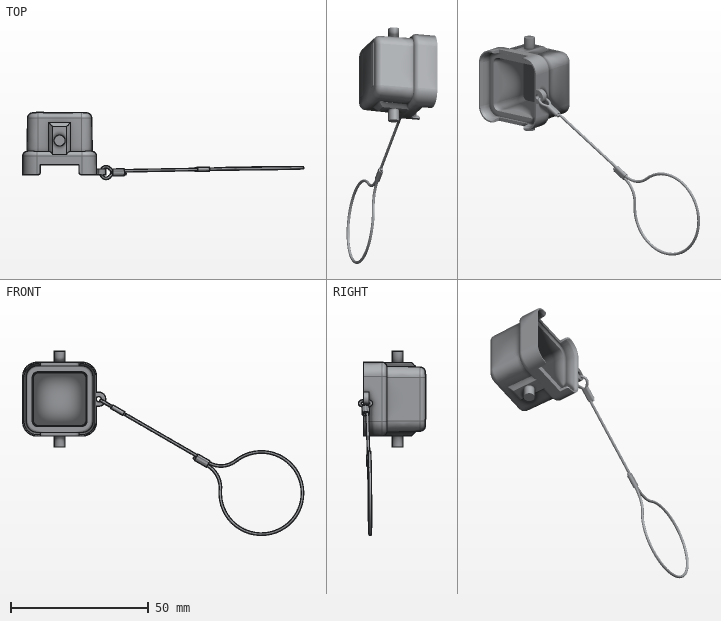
import cadquery as cq
import math


rim_half = 13.5
rim_corner = 5.3
rim_depth = 8.6
rim_round = 1.75

body_front_half = 12.0
body_back_half = 11.7
body_corner = 4.1
body_back = 22.65
body_back_round = 2.0

lip_width = 0.55
lip_depth = 1.05
seat_front_half = 12.5
ledge_half = 12.1
ledge_depth = 4.2

cavity_half = 10.05
cavity_corner = 2.3
floor_half = 9.6
back_thickness = 2.0
cavity_floor = body_back - back_thickness

notch_half = 7.0
notch_depth = 3.65
notch_round = 1.0

boss_half = 4.05
boss_back = 19.1
boss_top = 13.4
boss_bevel = 1.5
pin_diameter = 4.0
pin_y = 12.5
pin_end = 17.5

back_pads = [(-8.5, -5.9, 0.27), (4.8, 8.65, 0.15)]
pad_bottom = -7.3
pad_top = 9.0

lug_x = 14.25
lug_radius = 2.6
lug_hole_radius = 0.9
lug_thickness = 2.15

cable_radius = 0.5
strand_gap = 1.1
cable_drop_angle = 30.0
cable_tilt_angle = 0.9
cable_y = 0.75
eye_radius = 2.1
eye_center = 3.1
ferrule_radius = 0.8
ferrule_length = 5.0
ferrule_overlap = 0.2
tail_length = 0.8
eye_ferrule_start = 5.5
loop_ferrule_start = 41.4
loop_center = 68.5
loop_radius = 15.0


def square_block(half, corner, y_start, y_end, end_half=None):
    """Rounded square block along +Y, drafted when the far end has another half width."""
    length = y_end - y_start
    draft = 0.0
    if end_half is not None:
        draft = math.degrees(math.atan2(half - end_half, length))
    sketch = cq.Sketch().rect(2 * half, 2 * half).vertices().fillet(corner)
    plane = cq.Workplane("ZX", origin=(0, y_start, 0))
    return plane.placeSketch(sketch).extrude(length, taper=draft)


def make_shell():
    rim = square_block(rim_half, rim_corner, 0, rim_depth)
    rim = rim.faces(">Y").edges().fillet(rim_round)
    body = square_block(body_front_half, body_corner, rim_depth - rim_round, body_back, body_back_half)
    body = body.faces(">Y").edges().fillet(body_back_round)
    return rim.union(body)


def make_boss():
    """Boss and pin on the +Z side."""
    boss_front = rim_depth - rim_round
    boss = cq.Workplane("XY", origin=(0, 0, cavity_half)).center(0, (boss_front + boss_back) / 2)
    boss = boss.rect(2 * boss_half, boss_back - boss_front).extrude(boss_top - cavity_half)
    boss = boss.faces(">Z").edges(">X or <X or >Y").chamfer(boss_bevel)
    pin = cq.Workplane("XY", origin=(0, pin_y, cavity_half)).circle(pin_diameter / 2)
    return boss.union(pin.extrude(pin_end - cavity_half))


def make_back_pads():
    """Pads rooted halfway through the back wall."""
    root_depth = back_thickness / 2
    pads = cq.Workplane("XY")
    for x_start, x_end, height in back_pads:
        pad = cq.Workplane("XY", origin=(x_start, body_back - root_depth, pad_bottom))
        pads = pads.union(pad.box(x_end - x_start, root_depth + height, pad_top - pad_bottom, centered=False))
    return pads


def make_interior():
    """Everything removed from the mouth side: lip, seat and cavity."""
    lip_half = rim_half - lip_width
    lip_corner = rim_corner - lip_width
    seat_corner = lip_corner - (lip_half - seat_front_half)
    lip = square_block(lip_half, lip_corner, 0, lip_depth, seat_front_half)
    seat = square_block(seat_front_half, seat_corner, lip_depth, ledge_depth, ledge_half)
    entry = square_block(cavity_half, cavity_corner, ledge_depth, rim_depth)
    cavity = square_block(cavity_half, cavity_corner, rim_depth, cavity_floor, floor_half)
    return lip.union(seat).union(entry).union(cavity)


def make_notches():
    """One cutter through both Z sides, flared by a round at the mouth."""
    flare_half = notch_half + notch_round
    arc_inset = notch_round * math.cos(math.radians(45))
    arc_x = flare_half - arc_inset
    arc_y = notch_round - arc_inset
    outline = (
        cq.Workplane("XY", origin=(0, 0, -rim_half))
        .moveTo(-flare_half, 0)
        .threePointArc((-arc_x, arc_y), (-notch_half, notch_round))
        .lineTo(-notch_half, notch_depth)
        .lineTo(notch_half, notch_depth)
        .lineTo(notch_half, notch_round)
        .threePointArc((arc_x, arc_y), (flare_half, 0))
        .close()
    )
    return outline.extrude(2 * rim_half)


def lug_plane():
    return cq.Workplane("ZX").center(0, lug_x)


def make_lug():
    """Round-ended lug, still reaching through the rim wall into the mouth."""
    arm = cq.Workplane("ZX").center(0, (ledge_half + lug_x) / 2)
    arm = arm.rect(2 * lug_radius, lug_x - ledge_half).extrude(lug_thickness)
    return arm.union(lug_plane().circle(lug_radius).extrude(lug_thickness))


def make_lug_hole():
    return lug_plane().circle(lug_hole_radius).extrude(lug_thickness)


def strand(x_start, x_end, y, z):
    return cq.Workplane("YZ", origin=(x_start, y, z)).circle(cable_radius).extrude(x_end - x_start)


def ferrule(x_start, y, z, slot_angle):
    """Crimped sleeve around two strands lying side by side."""
    sleeve = cq.Workplane("YZ", origin=(x_start, y, z))
    width = 2 * ferrule_radius
    return sleeve.slot2D(strand_gap + width, width, slot_angle).extrude(ferrule_length)


def make_eye():
    """Small teardrop eye through the lug hole, in the local XY plane."""
    end_x = eye_ferrule_start + ferrule_overlap
    end_y = strand_gap / 2
    reach = math.hypot(end_x - eye_center, end_y)
    tangent_angle = math.atan2(end_y, end_x - eye_center) + math.acos(eye_radius / reach)
    tangent_x = eye_center + eye_radius * math.cos(tangent_angle)
    tangent_y = eye_radius * math.sin(tangent_angle)
    path = (
        cq.Workplane("XY")
        .moveTo(end_x, end_y)
        .lineTo(tangent_x, tangent_y)
        .threePointArc((eye_center - eye_radius, 0), (tangent_x, -tangent_y))
        .lineTo(end_x, -end_y)
    )
    start_direction = (tangent_x - end_x, tangent_y - end_y, 0)
    start = cq.Plane(origin=(end_x, end_y, 0), xDir=(0, 0, 1), normal=start_direction)
    return cq.Workplane(start).circle(cable_radius).sweep(path)


def blend_into_loop(x_start, offset):
    """Middle and end points of the arc tangent to a strand and to the outside of the loop.

    Offset is the strand's distance from the loop centre line, which is the cable's X axis.
    The points lie on the +Z side of that line.
    """
    span = loop_center - x_start
    radius = (span**2 + offset**2 - loop_radius**2) / (2 * (loop_radius - offset))
    center_z = offset + radius
    turn = math.atan2(span, center_z)
    middle = (x_start + radius * math.sin(turn / 2), center_z - radius * math.cos(turn / 2))
    end = (x_start + radius * math.sin(turn), center_z - radius * math.cos(turn))
    return middle, end


def make_loop(y):
    """Large loop in the plane y, entering and leaving through its ferrule."""
    x_start = loop_ferrule_start + ferrule_length
    upper_middle, upper_end = blend_into_loop(x_start, 0)
    lower_middle, lower_end = blend_into_loop(x_start, strand_gap)
    path = (
        cq.Workplane("XZ", origin=(0, y, 0))
        .moveTo(x_start, 0)
        .threePointArc(upper_middle, upper_end)
        .threePointArc((loop_center + loop_radius, 0), (lower_end[0], -lower_end[1]))
        .threePointArc((lower_middle[0], -lower_middle[1]), (x_start, -strand_gap))
    )
    return cq.Workplane("YZ", origin=(x_start, y, 0)).circle(cable_radius).sweep(path)


def make_cable():
    y = strand_gap / 2
    loop_ferrule_end = loop_ferrule_start + ferrule_length
    eye_tail_end = eye_ferrule_start + ferrule_length + tail_length
    cable = make_eye()
    cable = cable.union(ferrule(eye_ferrule_start, 0, 0, 0))
    cable = cable.union(strand(eye_ferrule_start + ferrule_overlap, eye_tail_end, -y, 0))
    cable = cable.union(strand(eye_ferrule_start + ferrule_overlap, loop_ferrule_end, y, 0))
    cable = cable.union(ferrule(loop_ferrule_start, y, -strand_gap / 2, 90))
    cable = cable.union(strand(loop_ferrule_start - tail_length, loop_ferrule_end, y, -strand_gap))
    cable = cable.union(make_loop(y))
    cable = cable.rotate((0, 0, 0), (0, 0, 1), cable_tilt_angle)
    cable = cable.rotate((0, 0, 0), (0, 1, 0), cable_drop_angle)
    return cable.translate((lug_x, cable_y, 0))


boss = make_boss()
cap = make_shell().union(boss).union(boss.mirror("XY")).union(make_back_pads()).union(make_lug())
cap = cap.cut(make_interior()).cut(make_notches()).cut(make_lug_hole())
result = cap.union(make_cable())